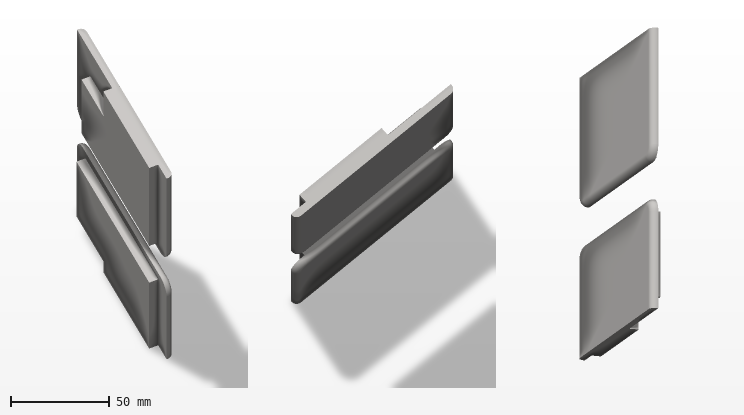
import cadquery as cq

total_height = 148.0
plate_width = 107.0
plate_thickness = 4.0
pad_thickness = 5.0
corner_radius = 7.5
back_edge_radius = 3.4

right_margin = 10.0
rounded_end_margin = 5.0
notch_edge_from_left = 42.0

upper_height = 69.0
upper_left_margin = 16.0
upper_notch_height = 20.0
lower_height = 59.0
lower_left_margin = 10.0
lower_notch_height = 9.0

left = -plate_width / 2
right = plate_width / 2
back_y = (plate_thickness + pad_thickness) / 2
plate_front_y = back_y - plate_thickness


def make_plate(straight_z, rounded_z):
    """Plate with one straight end, one rounded end and a rounded back rim."""
    height = abs(straight_z - rounded_z)
    middle_z = (straight_z + rounded_z) / 2
    rounded_end = "<Z" if rounded_z < straight_z else ">Z"
    straight_end = ">Z" if rounded_z < straight_z else "<Z"
    plate = (
        cq.Workplane("XZ", origin=(0, back_y, middle_z))
        .rect(plate_width, height)
        .extrude(plate_thickness)
    )
    plate = plate.faces(rounded_end).edges("|Y").fillet(corner_radius)
    rim = plate.faces(">Y").edges(f"not({straight_end})")
    return rim.fillet(back_edge_radius)


def make_pad(straight_z, rounded_z, left_margin, notch_height):
    """Raised pad, notched at the left of the plate's straight end."""
    inward = 1 if rounded_z > straight_z else -1
    pad_left = left + left_margin
    pad_right = right - right_margin
    notch_x = left + notch_edge_from_left
    notch_z = straight_z + inward * notch_height
    pad_end_z = rounded_z - inward * rounded_end_margin
    outline = [
        (notch_x, straight_z),
        (pad_right, straight_z),
        (pad_right, pad_end_z),
        (pad_left, pad_end_z),
        (pad_left, notch_z),
        (notch_x, notch_z),
    ]
    return (
        cq.Workplane("XZ", origin=(0, plate_front_y, 0))
        .polyline(outline)
        .close()
        .extrude(pad_thickness)
    )


def make_upper_cover():
    """Upper half, with its straight end at the top."""
    straight_z = total_height / 2
    rounded_z = straight_z - upper_height
    plate = make_plate(straight_z, rounded_z)
    return plate.union(make_pad(straight_z, rounded_z, upper_left_margin, upper_notch_height))


def make_lower_cover():
    """Lower half, with its straight end at the bottom."""
    straight_z = -total_height / 2
    rounded_z = straight_z + lower_height
    plate = make_plate(straight_z, rounded_z)
    return plate.union(make_pad(straight_z, rounded_z, lower_left_margin, lower_notch_height))


upper_cover = make_upper_cover()
lower_cover = make_lower_cover()
result = cq.Compound.makeCompound([upper_cover.val(), lower_cover.val()])